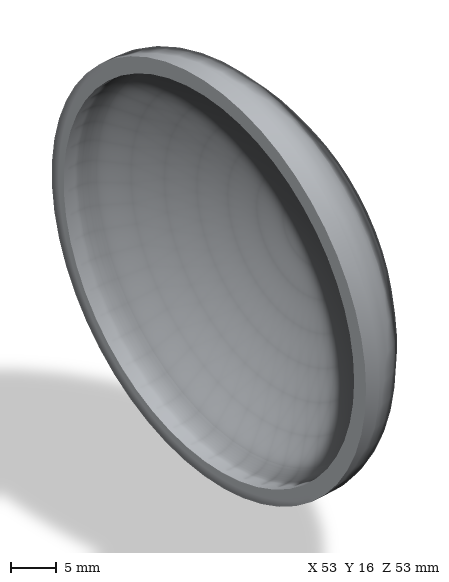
import cadquery as cq
import math

rim_radius = 26.5
height = 16.0
wall = 2.0
dome_radius = 35.0
shoulder_radius = 5.0

dome_center_y = height - dome_radius
shoulder_center_x = rim_radius - shoulder_radius
center_distance = dome_radius - shoulder_radius
shoulder_center_y = dome_center_y + math.sqrt(center_distance**2 - shoulder_center_x**2)
tangent_angle = math.asin(shoulder_center_x / center_distance)


def dome_point(offset, angle):
    """Point on the dome arc, moved inward by offset, at an angle from the Y axis."""
    radius = dome_radius - offset
    return (radius * math.sin(angle), dome_center_y + radius * math.cos(angle))


def shoulder_midpoint(offset):
    """Middle of the shoulder arc, moved inward by offset."""
    radius = shoulder_radius - offset
    angle = (tangent_angle + math.pi / 2) / 2
    return (
        shoulder_center_x + radius * math.sin(angle),
        shoulder_center_y + radius * math.cos(angle),
    )


def solid_dome(offset):
    """Solid of revolution bounded by the outer surface moved inward by offset."""
    radius = rim_radius - offset
    return (
        cq.Workplane("XY")
        .lineTo(radius, 0)
        .lineTo(radius, shoulder_center_y)
        .threePointArc(shoulder_midpoint(offset), dome_point(offset, tangent_angle))
        .threePointArc(dome_point(offset, tangent_angle / 2), dome_point(offset, 0))
        .close()
        .revolve(360, (0, 0, 0), (0, 1, 0))
    )


result = solid_dome(0).cut(solid_dome(wall))